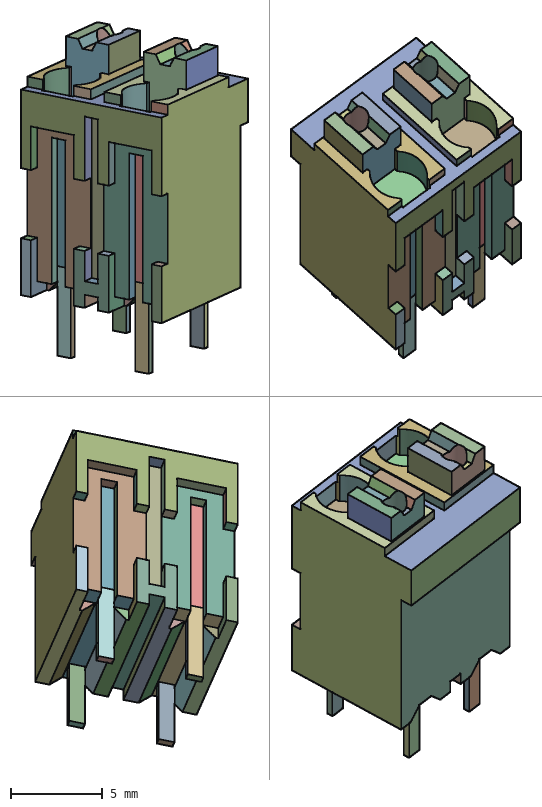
import cadquery as cq


pitch = 5.08
pole_centers = [-pitch / 2, pitch / 2]

width = 9.18
depth_at_hook = 8.5
depth = 7.77
bottom_z = 3.47
shoulder_z = 15.2
top_z = 15.77
hook_bottom_z = 12.7

pad_front_y = 0.63
pad_back_y = 6.61
center_gap = 0.87

relief_depth = 0.6
band_bottom_z = 6.72
band_top_z = 10.71
window_width = 2.8
window_top_z = 13.21
center_slot_depth = 0.7
center_slot_bottom_z = 4.99
center_slot_top_z = 14.38
pin_slot_top_z = 12.58

notch_top_z = 4.22
notch_height = notch_top_z - bottom_z
pole_notch_top_width = 1.0

pocket_floor_z = 13.93
entry_offset = -0.03
entry_neck_width = 2.0
entry_bulge_width = 3.04
entry_front_y = 0.52
arc_front_y = 0.79
arc_back_y = 3.21

lever_width = 2.8
lever_front_y = 3.42
lever_back_y = 6.53
lever_top_z = 17.45
groove_depth = 0.52
groove_top_width = 1.2
groove_floor_width = 0.61
tool_hole_radius = 0.7
tool_hole_y = 5.57
tool_hole_offset = 0.05

pin_width = 0.89
pin_thickness = 0.38
pin_top_z = 5.11
front_pin_y = 1.15
back_pin_y = 6.6

front_notch_depth = front_pin_y + pin_thickness


def block(x_center, x_size, y_range, z_range):
    """Box centered on x_center, spanning the given Y and Z ranges."""
    y_size = y_range[1] - y_range[0]
    z_size = z_range[1] - z_range[0]
    corner = (x_center - x_size / 2, y_range[0], z_range[0])
    return cq.Workplane("XY").box(x_size, y_size, z_size, centered=False).translate(corner)


def trapezoid_bar(x_center, bottom_width, top_width, y_range, z_range):
    """Bar along Y with a symmetric trapezoid section."""
    section = [
        (x_center - bottom_width / 2, z_range[0]),
        (x_center + bottom_width / 2, z_range[0]),
        (x_center + top_width / 2, z_range[1]),
        (x_center - top_width / 2, z_range[1]),
    ]
    bar = cq.Workplane("XZ").polyline(section).close().extrude(y_range[0] - y_range[1])
    return bar.translate((0, y_range[0], 0))


def make_pin(x_center, front_y):
    return block(x_center, pin_width, (front_y, front_y + pin_thickness), (0, pin_top_z))


def lever_blank(x_center):
    """Plain lever block, also the shape of its well in the housing."""
    return block(x_center, lever_width, (lever_front_y, lever_back_y), (pocket_floor_z, lever_top_z))


def make_lever(x_center):
    groove = trapezoid_bar(
        x_center, groove_floor_width, groove_top_width,
        (lever_front_y, lever_back_y), (lever_top_z - groove_depth, lever_top_z),
    )
    tool_hole = cq.Workplane("XY").circle(tool_hole_radius).extrude(lever_top_z - pocket_floor_z)
    tool_hole = tool_hole.translate((x_center + tool_hole_offset, tool_hole_y, pocket_floor_z))
    return lever_blank(x_center).cut(groove).cut(tool_hole)


def wire_entry(x_center):
    """Wire funnel running to the lever, its straight sides bulging out in arcs."""
    half_neck = entry_neck_width / 2
    half_bulge = entry_bulge_width / 2
    arc_middle_y = (arc_front_y + arc_back_y) / 2
    outline = (
        cq.Workplane("XY")
        .moveTo(-half_neck, entry_front_y)
        .lineTo(half_neck, entry_front_y)
        .lineTo(half_neck, arc_front_y)
        .threePointArc((half_bulge, arc_middle_y), (half_neck, arc_back_y))
        .lineTo(half_neck, lever_front_y)
        .lineTo(-half_neck, lever_front_y)
        .lineTo(-half_neck, arc_back_y)
        .threePointArc((-half_bulge, arc_middle_y), (-half_neck, arc_front_y))
        .close()
    )
    funnel = outline.extrude(top_z - pocket_floor_z)
    return funnel.translate((x_center + entry_offset, 0, pocket_floor_z))


def housing_blank():
    body = block(0, width, (0, depth), (bottom_z, shoulder_z))
    hook = block(0, width, (depth, depth_at_hook), (hook_bottom_z, shoulder_z))
    pads = block(0, width, (pad_front_y, pad_back_y), (shoulder_z, top_z))
    pad_gap = block(0, center_gap, (pad_front_y, pad_back_y), (shoulder_z, top_z))
    return body.union(hook).union(pads.cut(pad_gap))


def cut_center(housing):
    """Relief band across the front, center slot and center bottom notch."""
    band = block(0, width, (0, relief_depth), (band_bottom_z, band_top_z))
    slot = block(0, center_gap, (0, center_slot_depth), (center_slot_bottom_z, center_slot_top_z))
    notch = block(0, center_gap, (0, depth), (bottom_z, notch_top_z))
    return housing.cut(band).cut(slot).cut(notch)


def cut_pole(housing, x_center):
    """Front window, pin slot, bottom notches and top pocket of one pole."""
    window = block(x_center, window_width, (0, relief_depth), (bottom_z, window_top_z))
    pin_slot = block(x_center, pin_width, (0, front_pin_y), (bottom_z, pin_slot_top_z))
    front_notch = block(x_center, window_width, (0, front_notch_depth), (bottom_z, notch_top_z))
    sloped_notch = trapezoid_bar(
        x_center, pole_notch_top_width + 2 * notch_height, pole_notch_top_width,
        (0, depth), (bottom_z, notch_top_z),
    )
    for cutter in (window, pin_slot, front_notch, sloped_notch, wire_entry(x_center), lever_blank(x_center)):
        housing = housing.cut(cutter)
    return housing


levers = [make_lever(x) for x in pole_centers]
pins = [make_pin(x, y) for x in pole_centers for y in (front_pin_y, back_pin_y)]

housing = cut_center(housing_blank())
for pole_x in pole_centers:
    housing = cut_pole(housing, pole_x)
for pin in pins:
    housing = housing.cut(pin)

bodies = [housing, *levers, *pins]
result = cq.Compound.makeCompound([solid for body in bodies for solid in body.solids().vals()])